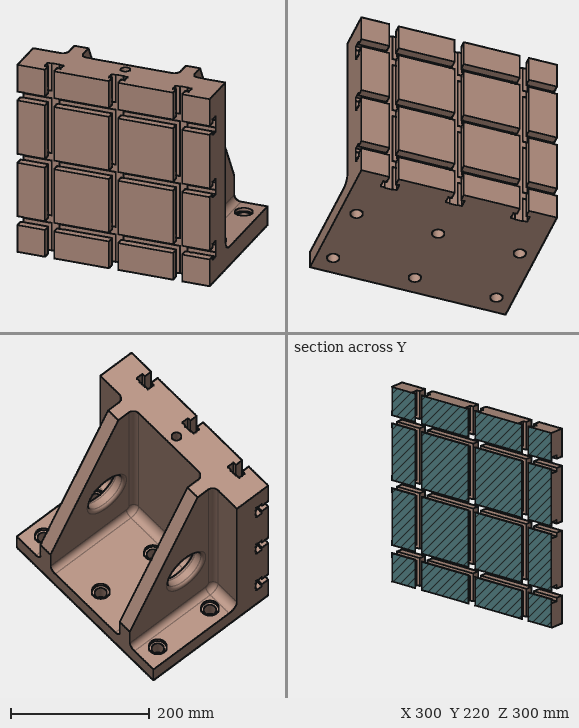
import cadquery as cq
import math

width = 300.0
depth = 220.0
height = 300.0
plate_thickness = 60.0
foot_thickness = 30.0

rib_inner_x = 76.0
rib_thickness = 22.2
rib_top_depth = 90.0
rib_back_height = 70.0
rib_fillet = 10.0
plate_foot_fillet = 15.0

rib_hole_diameter = 65.0
rib_hole_y = 112.5
rib_hole_z = 122.5
rib_hole_rounding = 5.0

slot_pitch = 100.0
slot_neck_width = 14.0
slot_head_width = 25.0
slot_relief_width = 12.0
slot_neck_depth = 12.0
slot_head_depth = 23.0
slot_relief_depth = 24.0

bolt_hole_diameter = 18.0
bolt_bore_diameter = 26.0
bolt_bore_depth = 5.0
bolt_spacing_x = 125.0
bolt_front_y = 90.0
bolt_spacing_y = 100.0

top_hole_diameter = 14.0
top_hole_y = 45.0
top_hole_depth = 30.0
top_hole_tip_angle = 118.0

overrun = 30.0


def make_blank():
    """Side profile of plate, foot and sloped rib, as wide as the part."""
    return (
        cq.Workplane("YZ")
        .polyline([
            (0, 0),
            (depth, 0),
            (depth, rib_back_height),
            (rib_top_depth, height),
            (0, height),
        ])
        .close()
        .extrude(width / 2, both=True)
    )


def make_bay(x_min, x_max, rib_sides):
    """Space behind the plate and above the foot, rounded where it meets the ribs."""
    bay = cq.Workplane("XY").box(
        x_max - x_min,
        depth + overrun - plate_thickness,
        height + overrun - foot_thickness,
        centered=False,
    ).translate((x_min, plate_thickness, foot_thickness))
    bay = bay.edges("<Y and <Z").fillet(plate_foot_fillet)
    for side in rib_sides:
        bay = bay.faces(side).edges("not (>Y or >Z)").fillet(rib_fillet)
    return bay


def make_rib_hole():
    """Straight bore along X through both ribs."""
    return (
        cq.Workplane("YZ")
        .center(rib_hole_y, rib_hole_z)
        .circle(rib_hole_diameter / 2)
        .extrude(width / 2, both=True)
    )


def make_slot(length):
    """T-slot along Z with a narrow relief groove in its floor, open towards -Y."""
    neck = slot_neck_width / 2
    head = slot_head_width / 2
    relief = slot_relief_width / 2
    right_half = [
        (neck, 0),
        (neck, slot_neck_depth),
        (head, slot_neck_depth),
        (head, slot_head_depth),
        (relief, slot_head_depth),
        (relief, slot_relief_depth),
    ]
    left_half = [(-x, y) for x, y in reversed(right_half)]
    return (
        cq.Workplane("XY")
        .polyline(right_half + left_half)
        .close()
        .extrude(length / 2, both=True)
    )


def make_top_hole():
    """Straight drilled hole that ends in the cone left by the drill."""
    radius = top_hole_diameter / 2
    tip_length = radius / math.tan(math.radians(top_hole_tip_angle / 2))
    floor_z = height - top_hole_depth
    return (
        cq.Workplane("XZ", origin=(0, top_hole_y, 0))
        .polyline([
            (0, height),
            (radius, height),
            (radius, floor_z),
            (0, floor_z - tip_length),
        ])
        .close()
        .revolve(360, (0, 0), (0, 1))
    )


rib_outer_x = rib_inner_x + rib_thickness
side_x = width / 2 + overrun

result = make_blank()
result = result.cut(make_bay(-rib_inner_x, rib_inner_x, ["<X", ">X"]))
result = result.cut(make_bay(rib_outer_x, side_x, ["<X"]))
result = result.cut(make_bay(-side_x, -rib_outer_x, [">X"]))

result = result.cut(make_rib_hole())
largest_circles = cq.selectors.RadiusNthSelector(-1)
result = result.edges("%CIRCLE").edges(largest_circles).fillet(rib_hole_rounding)

for step in (-1, 0, 1):
    upright = make_slot(height).translate((step * slot_pitch, 0, height / 2))
    level = (
        make_slot(width)
        .rotate((0, 0, 0), (0, 1, 0), 90)
        .translate((0, 0, height / 2 + step * slot_pitch))
    )
    result = result.cut(upright).cut(level)

bolt_points = [
    (column * bolt_spacing_x, bolt_front_y + row * bolt_spacing_y)
    for column in (-1, 0, 1)
    for row in (0, 1)
]
result = (
    result.copyWorkplane(cq.Workplane("XY", origin=(0, 0, foot_thickness)))
    .pushPoints(bolt_points)
    .cboreHole(bolt_hole_diameter, bolt_bore_diameter, bolt_bore_depth, foot_thickness)
)

result = result.cut(make_top_hole())